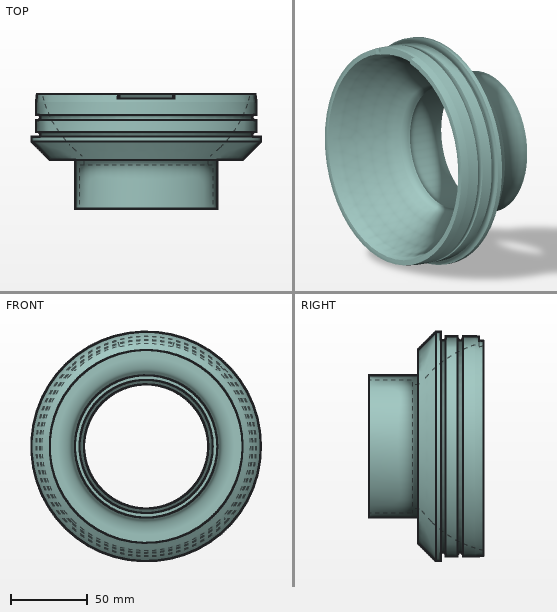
import cadquery as cq
import math

length = 75.0

tube_radius = 46.5
bore_radius = 43.5
bore_depth = 28.5
lip_radius = 40.5

flange_radius = 75.0
flange_front_y = 32.0
flange_front_radius = 63.0
flange_cone_end_y = flange_front_y + flange_radius - flange_front_radius
flange_back_y = 47.1

body_radius = 144.2 / 2
rim_radius = 71.4
rim_taper_length = 5.4

groove_width = 3.5
groove_depth = 2.8
groove_centers = (48.5, 59.7)

socket_radius = 69.8
socket_center_y = 90.3
lip_blend_radius = 6.0

notch_angle = 30.0
notch_depth = 3.0


def ring(profile):
    """Turn a closed (radius, y) profile around the Y axis."""
    return profile.close().revolve(360, (0, 0, 0), (0, 1, 0))


def make_flange_and_tube():
    return ring(
        cq.Workplane("XY")
        .moveTo(0, 0)
        .lineTo(tube_radius, 0)
        .lineTo(tube_radius, flange_front_y)
        .lineTo(flange_front_radius, flange_front_y)
        .lineTo(flange_radius, flange_cone_end_y)
        .lineTo(flange_radius, flange_back_y)
        .lineTo(0, flange_back_y)
    )


def make_body():
    return ring(
        cq.Workplane("XY")
        .moveTo(0, flange_front_y)
        .lineTo(flange_front_radius, flange_front_y)
        .lineTo(body_radius, flange_back_y)
        .lineTo(body_radius, length - rim_taper_length)
        .lineTo(rim_radius, length)
        .lineTo(0, length)
    )


def make_groove(center_y):
    half_width = groove_width / 2
    floor_radius = body_radius - groove_depth
    arc_start_radius = floor_radius + half_width
    return ring(
        cq.Workplane("XY")
        .moveTo(flange_radius, center_y - half_width)
        .lineTo(arc_start_radius, center_y - half_width)
        .threePointArc((floor_radius, center_y), (arc_start_radius, center_y + half_width))
        .lineTo(flange_radius, center_y + half_width)
    )


def make_cavity():
    """Bore, lip, blend and spherical socket as one turned solid."""
    blend_center_radius = lip_radius + lip_blend_radius
    center_distance = socket_radius + lip_blend_radius
    blend_angle = math.acos(blend_center_radius / center_distance)
    blend_y = socket_center_y - center_distance * math.sin(blend_angle)

    def blend_point(angle):
        return (
            blend_center_radius - lip_blend_radius * math.cos(angle),
            blend_y + lip_blend_radius * math.sin(angle),
        )

    def socket_point(angle):
        return (
            socket_radius * math.cos(angle),
            socket_center_y - socket_radius * math.sin(angle),
        )

    rim_angle = math.asin((socket_center_y - length) / socket_radius)
    return ring(
        cq.Workplane("XY")
        .moveTo(0, 0)
        .lineTo(bore_radius, 0)
        .lineTo(bore_radius, bore_depth)
        .lineTo(lip_radius, bore_depth)
        .lineTo(lip_radius, blend_y)
        .threePointArc(blend_point(blend_angle / 2), blend_point(blend_angle))
        .threePointArc(socket_point((blend_angle + rim_angle) / 2), socket_point(rim_angle))
        .lineTo(0, length)
    )


def make_notch():
    """Wedge with radial side walls, centred on +Z and open at the rim."""
    reach = flange_radius
    half_span = reach * math.tan(math.radians(notch_angle / 2))
    return (
        cq.Workplane("XZ", origin=(0, length, 0))
        .polyline([(0, 0), (half_span, reach), (-half_span, reach)])
        .close()
        .extrude(notch_depth)
    )


body = make_body()
for groove_center in groove_centers:
    body = body.cut(make_groove(groove_center))

result = body.union(make_flange_and_tube()).cut(make_cavity()).cut(make_notch())